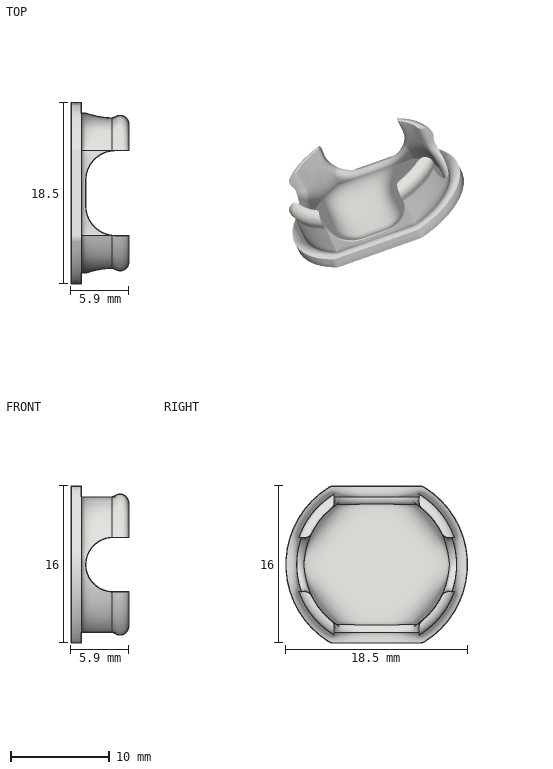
import cadquery as cq
import math

plate_radius = 9.25
plate_height = 16.0
plate_thickness = 1.04
plate_corner_radius = 1.0

total_depth = 5.9
ring_radius = 8.14
ring_height = 13.8
ring_wall = 0.8
bore_radius = ring_radius - ring_wall
bore_height = ring_height - 2 * ring_wall

bead_radius = 8.38
bead_round = 0.92
bead_start = 4.18
bead_ramp_end = 4.51

opening_floor = 1.5
side_opening_width = 5.51
side_opening_corner = side_opening_width / 2
flat_opening_width = 2 * math.sqrt(ring_radius**2 - (ring_height / 2) ** 2)
flat_opening_corner = 3.0
finger_round = 0.74

tolerance = 0.002


def make_flatted_disc(radius, height, thickness):
    """Disc on the YZ plane, cut flat at the top and bottom."""
    disc = cq.Workplane("YZ").circle(radius).extrude(thickness)
    band = cq.Workplane("YZ").rect(2 * radius, height).extrude(thickness)
    return disc.intersect(band)


def make_plate():
    plate = make_flatted_disc(plate_radius, plate_height, plate_thickness)
    return plate.edges("|X").fillet(plate_corner_radius)


def make_ring_envelope():
    """Solid bounded by the outside of the ring: wall, flats and bead."""
    crest_x = total_depth - bead_round
    bead_center_radius = bead_radius - bead_round
    ramp_rise = math.sqrt(bead_round**2 - (crest_x - bead_ramp_end) ** 2)
    turned = (
        cq.Workplane("XY")
        .lineTo(0, ring_radius)
        .lineTo(bead_start, ring_radius)
        .lineTo(bead_ramp_end, bead_center_radius + ramp_rise)
        .threePointArc((crest_x, bead_radius), (total_depth, bead_center_radius))
        .lineTo(total_depth, 0)
        .close()
        .revolve(360, (0, 0, 0), (1, 0, 0))
    )
    band = cq.Workplane("XY").box(2 * total_depth, flat_opening_width, 2 * plate_radius)
    core = cq.Workplane("XY").box(2 * total_depth, flat_opening_width, ring_height)
    return turned.cut(band.cut(core))


def make_opening(plane, width, corner_radius):
    """Round-bottomed slot through the whole ring, open at the free end."""
    half_width = width / 2
    half_floor = half_width - corner_radius
    arc_end = opening_floor + corner_radius
    bend = corner_radius * (1 - math.sqrt(0.5))
    outline = (
        cq.Workplane(plane)
        .moveTo(total_depth, -half_width)
        .lineTo(arc_end, -half_width)
        .threePointArc(
            (opening_floor + bend, -half_width + bend), (opening_floor, -half_floor)
        )
    )
    if half_floor > 0:
        outline = outline.lineTo(opening_floor, half_floor)
    outline = outline.threePointArc(
        (opening_floor + bend, half_width - bend), (arc_end, half_width)
    )
    return outline.lineTo(total_depth, half_width).close().extrude(plate_radius, both=True)


def is_inner_opening_edge(edge):
    """True for edges where an opening meets the bore."""
    box = edge.BoundingBox()
    on_end_face = box.xmin > total_depth - tolerance
    beyond_base = box.xmax > opening_floor - tolerance and box.xmin > tolerance
    reach = max(math.hypot(p.y, p.z) for p in edge.positions([0, 0.5, 1]))
    return beyond_base and not on_end_face and reach < bore_radius + tolerance


def make_fingers():
    """Thick-walled ring with four openings and rounded inner edges."""
    blank = cq.Workplane("YZ").circle(plate_radius).extrude(total_depth)
    blank = blank.cut(make_flatted_disc(bore_radius, bore_height, total_depth))
    blank = blank.cut(make_opening("XZ", side_opening_width, side_opening_corner))
    blank = blank.cut(make_opening("XY", flat_opening_width, flat_opening_corner))
    rounded = blank.edges().filter(is_inner_opening_edge).fillet(finger_round)
    return rounded.intersect(make_ring_envelope())


result = make_plate().union(make_fingers())